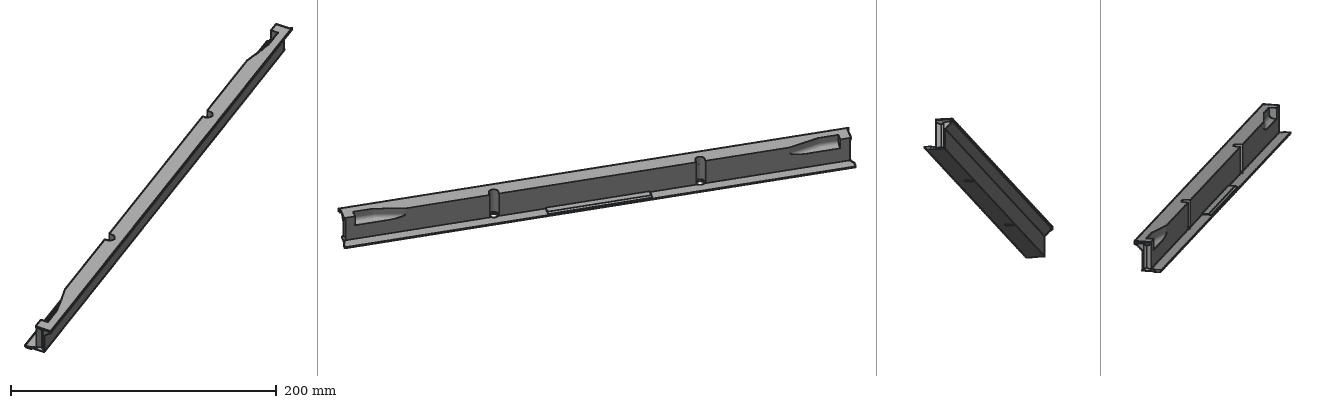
import cadquery as cq

length = 398.0
width = 21.0
height = 23.0
web_left = 8.5
web_right = 15.5
flange_thickness = 2.0
flange_tip_bevel = 1.0
lip_height = 2.0
overhang = width - web_right

end_recess = 1.4
flange_tip_width = 4.8
notch_slant_width = 2.0

groove_edge_recess = 2.5
groove_bottom_recess = 3.5
groove_bottom_x = 12.5
groove_right_x = 14.5
groove_floor = 0.5
groove_roof = 19.0
groove_floor_rise = 1.5
groove_roof_rise = 3.0

hole_diameter = 6.8
slot_width = 7.0
slot_depth = 2.6
hole_spacing = 160.8

pocket_start = 10.0
pocket_bend = 25.5
pocket_end = 49.5
pocket_depth = 8.5
pocket_back_x = 14.5
pocket_floor_fillet = 3.4

pad_length = 81.0
pad_left = 1.0
pad_ramp_width = 2.0
pad_height = 0.8

half_length = length / 2
pocket_floor = height - pocket_depth
hole_x = web_left + slot_depth


def both_ends(solid):
    """Return the solid together with its mirror image across the mid-length plane."""
    return solid.union(solid.mirror("XZ"))


def make_rail():
    """Z-shaped section: flange to the left at the bottom, bevelled overhang to the right at the top."""
    section = (
        cq.Workplane("XZ")
        .moveTo(flange_tip_bevel, 0)
        .lineTo(web_right, 0)
        .lineTo(web_right, height - lip_height - overhang)
        .lineTo(width, height - lip_height)
        .lineTo(width, height)
        .lineTo(web_left, height)
        .lineTo(web_left, flange_thickness)
        .lineTo(0, flange_thickness)
        .lineTo(0, flange_tip_bevel)
        .close()
    )
    return section.extrude(half_length, both=True)


def make_pad():
    """Thin pad on the flange with a ramp along its outer edge."""
    pad_top = flange_thickness + pad_height
    section = (
        cq.Workplane("XZ")
        .moveTo(pad_left, 0)
        .lineTo(web_right, 0)
        .lineTo(web_right, pad_top)
        .lineTo(pad_left + pad_ramp_width, pad_top)
        .lineTo(pad_left, flange_thickness)
        .close()
    )
    return section.extrude(pad_length / 2, both=True)


def make_end_notch():
    """Shallow trapezoidal notch over the full height, leaving the flange tip and the lip edge proud."""
    notch_left = flange_tip_width + notch_slant_width
    return (
        cq.Workplane("XY")
        .moveTo(flange_tip_width, half_length)
        .lineTo(notch_left, half_length - end_recess)
        .lineTo(width - end_recess, half_length - end_recess)
        .lineTo(width, half_length)
        .close()
        .extrude(height)
    )


def make_end_groove():
    """V-groove in the end of the web; its floor and roof slope inwards from the end face."""
    groove = (
        cq.Workplane("XY")
        .moveTo(web_left, half_length)
        .lineTo(web_left, half_length - groove_edge_recess)
        .lineTo(groove_bottom_x, half_length - groove_bottom_recess)
        .lineTo(groove_right_x, half_length - groove_edge_recess)
        .lineTo(width, half_length - groove_edge_recess)
        .lineTo(width, half_length)
        .close()
        .extrude(height)
    )
    side_limits = (
        cq.Workplane("YZ")
        .moveTo(half_length - end_recess, groove_floor)
        .lineTo(half_length - groove_bottom_recess, groove_floor + groove_floor_rise)
        .lineTo(half_length - groove_bottom_recess, groove_roof)
        .lineTo(half_length - end_recess, groove_roof + groove_roof_rise)
        .close()
        .extrude(width)
    )
    return groove.intersect(side_limits)


def make_pocket():
    """Pocket in the web's left face; its back wall slants out and meets the floor in a fillet."""
    start_y = half_length - pocket_start
    bend_y = half_length - pocket_bend
    end_y = half_length - pocket_end
    slant = (end_y - bend_y) / (web_left - pocket_back_x)
    pocket = (
        cq.Workplane("XY")
        .workplane(offset=pocket_floor)
        .moveTo(0, start_y)
        .lineTo(pocket_back_x, start_y)
        .lineTo(pocket_back_x, bend_y)
        .lineTo(0, bend_y - pocket_back_x * slant)
        .close()
        .extrude(pocket_depth)
    )
    back_bottom_edges = pocket.faces("<Z").edges("not(<X or >Y)")
    return back_bottom_edges.fillet(pocket_floor_fillet)


def make_hole(y):
    """Vertical hole through the flange below a wider U-shaped slot in the web's left face."""
    hole = cq.Workplane("XY").center(hole_x, y).circle(hole_diameter / 2).extrude(height)
    slot_base = cq.Workplane("XY").workplane(offset=flange_thickness)
    slot_end = slot_base.center(hole_x, y).circle(slot_width / 2).extrude(height)
    slot_mouth = (
        slot_base.center(hole_x - slot_depth / 2, y)
        .rect(slot_depth, slot_width)
        .extrude(height)
    )
    web_limits = (
        cq.Workplane("XY")
        .center((web_left + width) / 2, y)
        .rect(width - web_left, slot_width)
        .extrude(height)
    )
    return hole.union(slot_end.union(slot_mouth).intersect(web_limits))


result = make_rail().union(make_pad())
for end_cut in (make_end_notch(), make_end_groove(), make_pocket()):
    result = result.cut(both_ends(end_cut))
for hole_y in (-hole_spacing / 2, hole_spacing / 2):
    result = result.cut(make_hole(hole_y))